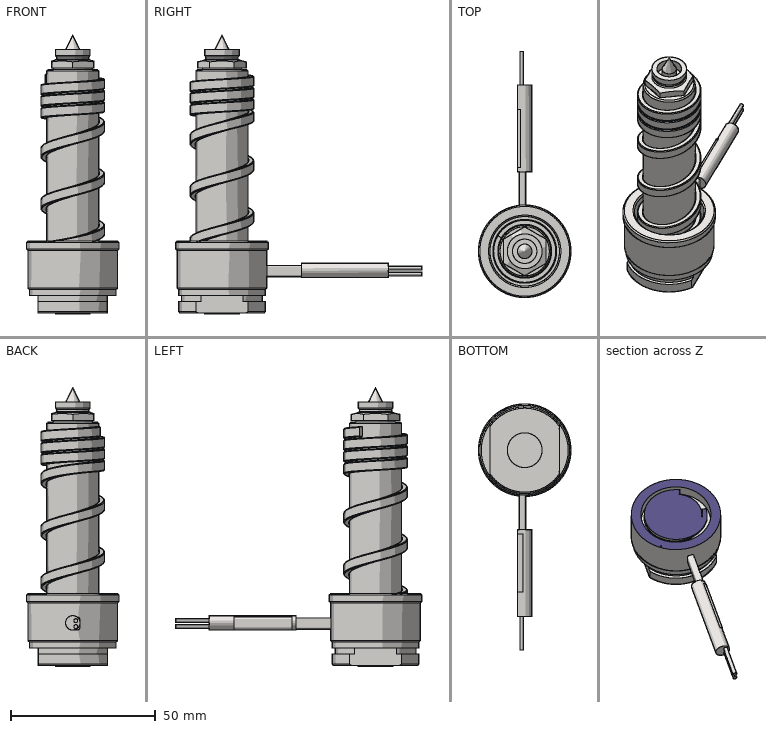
import cadquery as cq
import math


pad_radius = 6.0
pad_height = 0.25
spigot_radius = 15.0
spigot_top = 4.3
spigot_chamfer = 0.5
groove_radius = 14.0
groove_top = 6.3
flats_width = 24.0
seat_radius = 15.0
seat_top = 8.4
drum_radius = 15.5
drum_chamfer = 0.5
rim_bottom = 21.9
rim_radius = 16.0
rim_top = 25.1
rim_chamfer = 0.5
cavity_radius = 12.0
cavity_floor = 17.0

stem_radius = 9.0
stem_top = 84.3
stem_chamfer = 0.5
relief_radius = 6.8
hex_bottom = 84.8
hex_top = 86.95
hex_across_flats = 14.6
cone_radius = 6.0
cone_top = 87.6
neck_radius = 5.6
neck_bottom = 88.0
lip_radius = 6.0
lip_bottom = 89.1
lip_top = 91.3
bore_radius = 4.2
bore_floor = 88.0
pin_radius = 2.5
pin_tip = 96.2
pin_cone_height = 5.1

coil_radius = 11.0
coil_height = 3.5
coil_chamfer = 0.3
coil_overlap = 0.2
close_pitch = 4.0
open_pitch = 17.85
close_top_angle = 150.0
coil_top_z = 81.0
upper_bend_drop = 1160.0
open_sweep = 904.0
lower_close_sweep = 360.0
bend_half_width = 62.0
coil_sweep = upper_bend_drop + open_sweep + lower_close_sweep
coil_strips = 14
coil_point_step = 15.0

lead_end = 69.0
cable_start = 13.0
cable_left = -1.9
cable_right = 0.4
cable_height = 4.0
cable_fillet = 0.65
lead_z = 14.75
sleeve_radius = 2.5
sleeve_z = 15.0
sleeve_start = 27.4
sleeve_end = 57.4
block_start = 28.9
block_end = 48.9
block_right = 0.0
block_height = 4.5
block_fillet = 1.05
wire_radius = 0.67
wire_x = -1.03
wire_spacing = 2.05


def disc(radius, bottom, top):
    """Round disc on the Z axis between two heights."""
    return cq.Workplane("XY").workplane(offset=bottom).circle(radius).extrude(top - bottom)


def turned(profile):
    """Solid of revolution about Z from a closed outline of (radius, height) points."""
    return cq.Workplane("XZ").polyline(profile).close().revolve(360, (0, 0), (0, 1))


def make_base():
    spigot = disc(spigot_radius, pad_height, spigot_top).faces("<Z").chamfer(spigot_chamfer)
    spigot = spigot.union(disc(groove_radius, spigot_top, groove_top))
    flats = cq.Workplane("XY").box(flats_width, 2 * spigot_radius, groove_top, centered=(True, True, False))
    base = spigot.intersect(flats)
    base = base.union(disc(pad_radius, 0, pad_height))
    base = base.union(disc(seat_radius, groove_top, seat_top))
    base = base.union(disc(drum_radius, seat_top, rim_bottom).faces("<Z").chamfer(drum_chamfer))
    base = base.union(disc(rim_radius, rim_bottom, rim_top).edges().chamfer(rim_chamfer))
    cavity_profile = [
        (0, cavity_floor),
        (cavity_radius, cavity_floor),
        (cavity_radius, rim_top - rim_chamfer),
        (cavity_radius + rim_chamfer, rim_top),
        (0, rim_top),
    ]
    return base.cut(turned(cavity_profile))


def make_hexagon():
    """Hexagon with two corners on the Y axis, its top coned up towards the neck."""
    corner_radius = hex_across_flats / 2 / math.cos(math.pi / 6)
    hexagon = (
        cq.Workplane("XY")
        .workplane(offset=hex_bottom)
        .polygon(6, hex_across_flats, circumscribed=True)
        .extrude(cone_top - hex_bottom)
    )
    coned = [
        (0, hex_bottom),
        (corner_radius, hex_bottom),
        (corner_radius, hex_top),
        (cone_radius, cone_top),
        (0, cone_top),
    ]
    return hexagon.intersect(turned(coned))


def make_tip():
    """Turned tip: relief, hexagon, necked lip and a pointed pin standing in a bore."""
    profile = [
        (0, stem_top),
        (relief_radius, stem_top),
        (relief_radius, hex_bottom),
        (cone_radius, hex_bottom),
        (cone_radius, cone_top),
        (neck_radius, neck_bottom),
        (neck_radius, lip_bottom - (lip_radius - neck_radius)),
        (lip_radius, lip_bottom),
        (lip_radius, lip_top),
        (bore_radius, lip_top),
        (bore_radius, bore_floor),
        (pin_radius, bore_floor),
        (pin_radius, pin_tip - pin_cone_height),
        (0, pin_tip),
    ]
    return turned(profile).union(make_hexagon())


def bend_rise(drop_angle, bend_angle):
    """Smooth ramp: zero before the bend, rising one unit per degree after it."""
    u = drop_angle - bend_angle
    if u <= -bend_half_width:
        return 0.0
    if u >= bend_half_width:
        return u
    return (u + bend_half_width) ** 2 / (4 * bend_half_width)


def coil_z(drop_angle):
    """Height of the coil's middle after descending by drop_angle degrees from its top end."""
    extra_pitch = open_pitch - close_pitch
    opened = bend_rise(drop_angle, upper_bend_drop) - bend_rise(drop_angle, upper_bend_drop + open_sweep)
    return coil_top_z - (close_pitch * drop_angle + extra_pitch * opened) / 360


def coil_point(drop_angle, radius, rise):
    """Point on the coil at one radius, a fixed rise above its middle height."""
    angle = math.radians(close_top_angle - drop_angle)
    return cq.Vector(radius * math.cos(angle), radius * math.sin(angle), coil_z(drop_angle) + rise)


def coil_tangent(drop_angle, radius):
    """Travel along the coil per degree of descent, from a small step to either side."""
    step = 0.01
    return (coil_point(drop_angle + step, radius, 0) - coil_point(drop_angle - step, radius, 0)) / (2 * step)


def coil_edge(start, end, radius, rise):
    """Smooth curve along the coil between two drop angles."""
    count = math.ceil((end - start) / coil_point_step)
    drops = [start + (end - start) * i / count for i in range(count + 1)]
    points = [coil_point(drop, radius, rise) for drop in drops]
    tangents = [coil_tangent(start, radius), coil_tangent(end, radius)]
    return cq.Edge.makeSpline(points, tangents=tangents, parameters=drops, scale=False)


def make_coil():
    """Solid bounded by ruled strips between neighbouring corner curves and a flat cap at each end."""
    half = coil_height / 2
    root_radius = stem_radius - coil_overlap
    root_half_height = half - coil_chamfer - coil_overlap
    section = [
        (root_radius, -root_half_height),
        (stem_radius + coil_chamfer, -half),
        (coil_radius - coil_chamfer, -half),
        (coil_radius, coil_chamfer - half),
        (coil_radius, half - coil_chamfer),
        (coil_radius - coil_chamfer, half),
        (stem_radius + coil_chamfer, half),
        (root_radius, root_half_height),
    ]
    faces = []
    strip_sweep = coil_sweep / coil_strips
    for strip in range(coil_strips):
        start = strip * strip_sweep
        edges = [coil_edge(start, start + strip_sweep, radius, rise) for radius, rise in section]
        faces += [cq.Face.makeRuledSurface(edges[i - 1], edges[i]) for i in range(len(edges))]
    for drop in (0, coil_sweep):
        corners = [coil_point(drop, radius, rise) for radius, rise in section]
        faces.append(cq.Face.makeFromWires(cq.Wire.makePolygon(corners, close=True)))
    return cq.Workplane(cq.Solid.makeSolid(cq.Shell.makeShell(faces)))


def round_bar(x, z, radius, start, end):
    """Round bar parallel to Y between two distances."""
    return cq.Workplane("XZ", origin=(x, start, z)).circle(radius).extrude(start - end)


def flat_bar(left, right, height, fillet, start, end):
    """Bar parallel to Y at the lead height, with its four long edges rounded."""
    middle = (left + right) / 2
    bar = cq.Workplane("XZ", origin=(middle, start, lead_z)).rect(right - left, height).extrude(start - end)
    return bar.edges("|Y").fillet(fillet)


def make_lead():
    sleeve = round_bar(0, sleeve_z, sleeve_radius, sleeve_start, sleeve_end)
    cable = flat_bar(cable_left, cable_right, cable_height, cable_fillet, cable_start, sleeve_start)
    block = flat_bar(-sleeve_radius, block_right, block_height, block_fillet, block_start, block_end)
    lead = sleeve.union(cable).union(block)
    for side in (-1, 1):
        wire_z = lead_z + side * wire_spacing / 2
        lead = lead.union(round_bar(wire_x, wire_z, wire_radius, sleeve_start, lead_end))
    return lead


stem = disc(stem_radius, cavity_floor, stem_top).faces(">Z").chamfer(stem_chamfer)
result = make_base().union(stem).union(make_coil()).union(make_tip()).union(make_lead())